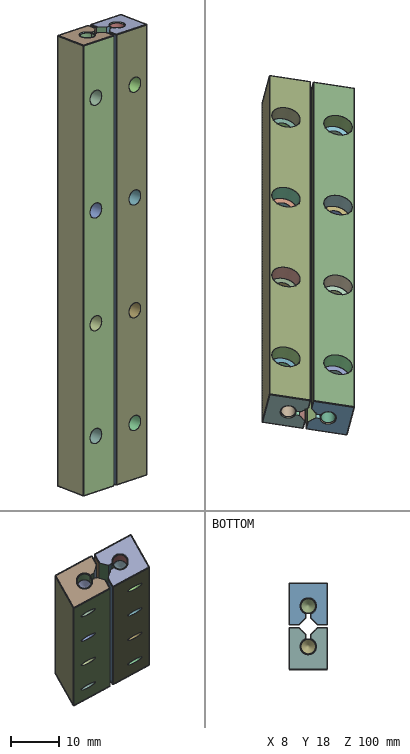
import cadquery as cq
import math

length = 100.0
rail_width = 8.0
pair_depth = 18.0
rail_gap = 0.5
rail_depth = (pair_depth - rail_gap) / 2
rail_center_y = (rail_gap + rail_depth) / 2
edge_chamfer = 0.15

groove_half_width = 2.2
relief_width = 1.0
relief_bottom_y = 2.6

screw_count = 4
screw_pitch = length / screw_count
first_screw_z = (screw_pitch - length) / 2
screw_y = 5.5
screw_diameter = 3.3
counterbore_diameter = 6.0
counterbore_depth = 3.1

end_hole_diameter = 3.0
end_hole_chamfer = 0.2
end_hole_y = 4.2
end_hole_depth = 6.0
drill_tip_angle = 90.0


def groove_cutter(side):
    """Full-length V with its relief slot, opening towards Y = 0."""
    relief_half = relief_width / 2
    shoulder_y = groove_half_width - relief_half
    return (
        cq.Workplane("XY")
        .polyline([
            (-groove_half_width, 0),
            (-relief_half, side * shoulder_y),
            (-relief_half, side * relief_bottom_y),
            (relief_half, side * relief_bottom_y),
            (relief_half, side * shoulder_y),
            (groove_half_width, 0),
        ])
        .close()
        .extrude(length / 2, both=True)
    )


def screw_cutter(y, z):
    """Through hole along X, counterbored from the -X face."""
    start = cq.Vector(-rail_width / 2, y, z)
    direction = cq.Vector(1, 0, 0)
    through = cq.Solid.makeCylinder(screw_diameter / 2, rail_width, start, direction)
    counterbore = cq.Solid.makeCylinder(counterbore_diameter / 2, counterbore_depth, start, direction)
    return cq.Workplane(through.fuse(counterbore))


def end_hole_cutter(y, end):
    """Blind hole with chamfered mouth and conical bottom; end is +1 at the top, -1 at the bottom."""
    radius = end_hole_diameter / 2
    tip_length = radius / math.tan(math.radians(drill_tip_angle / 2))
    half_profile = [
        (0, 0),
        (radius + end_hole_chamfer, 0),
        (radius, -end_hole_chamfer),
        (radius, -end_hole_depth),
        (0, -end_hole_depth - tip_length),
    ]
    return (
        cq.Workplane("XZ")
        .polyline([(r, end * z) for r, z in half_profile])
        .close()
        .revolve(360, (0, 0, 0), (0, 1, 0))
        .translate((0, y, end * length / 2))
    )


def make_rail(side):
    """One rail; side is +1 for the rail at +Y, -1 for the rail at -Y."""
    rail = (
        cq.Workplane("XY")
        .box(rail_width, rail_depth, length)
        .edges()
        .chamfer(edge_chamfer)
        .translate((0, side * rail_center_y, 0))
        .cut(groove_cutter(side))
    )
    for i in range(screw_count):
        rail = rail.cut(screw_cutter(side * screw_y, first_screw_z + i * screw_pitch))
    for end in (1, -1):
        rail = rail.cut(end_hole_cutter(side * end_hole_y, end))
    return rail


rails = []
for side in (1, -1):
    rails.append(make_rail(side).val())

result = cq.Compound.makeCompound(rails)